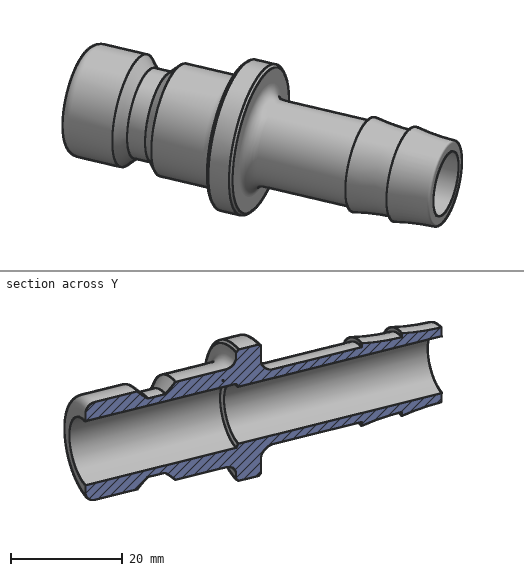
import cadquery as cq
import math


total_length = 71.0
groove_start = 12.4
groove_end = 15.9
flange_start = 30.0
flange_end = 35.0
bore_mouth_depth = flange_start
barb_length = 8.0
barb_count = 2
barb_land = 0.1

plug_diameter = 20.9
groove_diameter = 16.8
flange_diameter = 28.0
tail_diameter = 16.0
barb_diameter = 17.6
bore_diameter = 12.0
bore_mouth_diameter = 13.5

bore_cone_angle = 120.0

nose_radius = 2.0
plug_fillet = 2.0
tail_fillet = 2.5
flange_chamfer = 0.5
hose_end_radius = 0.4

plug_radius = plug_diameter / 2
groove_radius = groove_diameter / 2
flange_radius = flange_diameter / 2
tail_radius = tail_diameter / 2
barb_radius = barb_diameter / 2
bore_radius = bore_diameter / 2
bore_mouth_radius = bore_mouth_diameter / 2

groove_depth = plug_radius - groove_radius
bore_cone_length = (bore_mouth_radius - bore_radius) / math.tan(math.radians(bore_cone_angle / 2))
barb_middle_radius = tail_radius + (barb_radius - tail_radius) / 4
barbs_start = total_length - barb_count * barb_length


def bar(start, end, radius):
    """Cylinder about the X axis between two axial positions."""
    return cq.Workplane("YZ").workplane(offset=start).circle(radius).extrude(end - start)


def make_plug():
    """Locking plug with a rounded nose and a groove with 45 degree flanks."""
    plug = bar(0, flange_start, plug_radius).faces("<X").edges().fillet(nose_radius)
    groove = (
        cq.Workplane("XY")
        .moveTo(groove_start - groove_depth, plug_radius)
        .lineTo(groove_start, groove_radius)
        .lineTo(groove_end, groove_radius)
        .lineTo(groove_end + groove_depth, plug_radius)
        .close()
        .revolve(360, (0, 0, 0), (1, 0, 0))
    )
    return plug.cut(groove)


def make_flange():
    """Stop flange with chamfered rims."""
    return bar(flange_start, flange_end, flange_radius).edges().chamfer(flange_chamfer)


def root_fillet(face, direction, radius, fillet):
    """Ring that blends a shaft into a flange face; direction is the way out of the face."""
    arc_middle = fillet * (1 - math.cos(math.radians(45)))
    return (
        cq.Workplane("XY")
        .moveTo(face, radius)
        .lineTo(face + direction * fillet, radius)
        .threePointArc((face + direction * arc_middle, radius + arc_middle), (face, radius + fillet))
        .close()
        .revolve(360, (0, 0, 0), (1, 0, 0))
    )


def make_barb(start):
    """Hose barb: a step with a narrow land, then a curve that runs out parallel to the axis."""
    land_end = start + barb_land
    end = start + barb_length
    middle = (land_end + end) / 2
    return (
        cq.Workplane("XY")
        .moveTo(start, 0)
        .lineTo(start, barb_radius)
        .lineTo(land_end, barb_radius)
        .threePointArc((middle, barb_middle_radius), (end, tail_radius))
        .lineTo(end, 0)
        .close()
        .revolve(360, (0, 0, 0), (1, 0, 0))
    )


def make_bore():
    """Through bore with a wider mouth that ends in a cone."""
    return (
        cq.Workplane("XY")
        .lineTo(0, bore_mouth_radius)
        .lineTo(bore_mouth_depth, bore_mouth_radius)
        .lineTo(bore_mouth_depth + bore_cone_length, bore_radius)
        .lineTo(total_length, bore_radius)
        .lineTo(total_length, 0)
        .close()
        .revolve(360, (0, 0, 0), (1, 0, 0))
    )


result = make_plug().union(make_flange())
result = result.union(bar(flange_end, barbs_start, tail_radius))
result = result.union(root_fillet(flange_start, -1, plug_radius, plug_fillet))
result = result.union(root_fillet(flange_end, 1, tail_radius, tail_fillet))
for index in range(barb_count):
    result = result.union(make_barb(barbs_start + index * barb_length))
result = result.faces(">X").edges().fillet(hose_end_radius)
result = result.cut(make_bore())